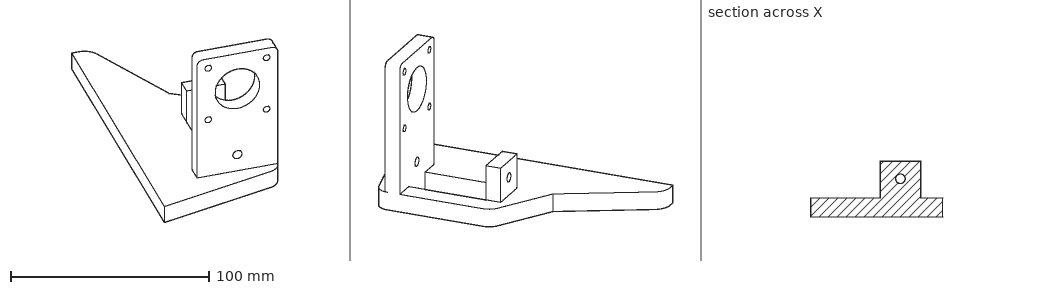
import cadquery as cq

base_length = 149.2
base_width = 66.8
base_thickness = 9.7
top_left_x = 71.0
top_right_x = 134.0
waist_x = 50.7
left_edge_width = 9.4
top_corner_radius = 7.5
left_corner_radius = 9.0

window_front_y = 35.0
window_back_y = 55.6

wall_thickness = 8.2
plate_x = 121.1
plate_width = 43.0
plate_top_z = 80.3
plate_corner_radius = 3.1
plate_front_y = base_width - plate_width

block_x = 70.4
block_top_z = 28.3

shaft_y = (window_front_y + window_back_y) / 2
rod_hole_z = 19.4
rod_hole_diameter = 4.8
motor_z = 59.1
motor_bore_diameter = 23.5
screw_spacing = 31.0
screw_diameter = 3.5


def box_between(x, y, z, end_x, end_y, end_z):
    """Box given by its lowest and highest corners."""
    return cq.Workplane("XY").box(end_x - x, end_y - y, end_z - z, centered=False).translate((x, y, z))


def cylinder_along_x(y, z, diameter):
    """Cutter running the full length of the part."""
    return cq.Workplane("YZ").center(y, z).circle(diameter / 2).extrude(base_length)


def make_base():
    outline = [
        (0, 0),
        (base_length, 0),
        (top_right_x, base_width),
        (top_left_x, base_width),
        (waist_x, window_front_y),
        (0, left_edge_width),
    ]
    base = cq.Workplane("XY").polyline(outline).close().extrude(base_thickness)
    base = base.edges("|Z").edges(">Y").fillet(top_corner_radius)
    left_corner = cq.selectors.NearestToPointSelector((0, left_edge_width, base_thickness / 2))
    base = base.edges("|Z").edges(left_corner).fillet(left_corner_radius)
    window = box_between(block_x, window_front_y, 0, plate_x, window_back_y, base_thickness)
    return base.cut(window)


def make_plate():
    plate_end_x = plate_x + wall_thickness
    plate = box_between(plate_x, plate_front_y, base_thickness, plate_end_x, base_width, plate_top_z)
    return plate.edges("|X and >Z").fillet(plate_corner_radius)


def make_block():
    return box_between(block_x, window_front_y, 0, block_x + wall_thickness, window_back_y, block_top_z)


result = make_base().union(make_plate()).union(make_block())

result = result.cut(cylinder_along_x(shaft_y, rod_hole_z, rod_hole_diameter))
result = result.cut(cylinder_along_x(shaft_y, motor_z, motor_bore_diameter))

for side_y in (-1, 1):
    for side_z in (-1, 1):
        screw_y = shaft_y + side_y * screw_spacing / 2
        screw_z = motor_z + side_z * screw_spacing / 2
        result = result.cut(cylinder_along_x(screw_y, screw_z, screw_diameter))